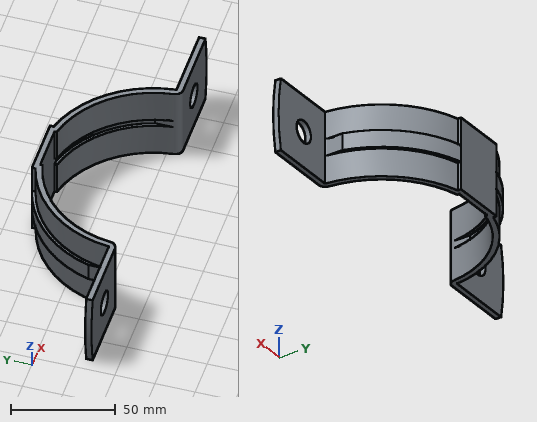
import cadquery as cq
import math

length = 190.5
height = 54.0
width = 40.0
thickness = 3.2

band_inner_radius = 53.0
band_outer_radius = band_inner_radius + thickness
band_center_y = -2.1
bend_radius = 3.8

crest_outer_half = 15.0
crest_inner_half = 11.8

bead_outer_radius = 58.0
bead_inner_radius = bead_outer_radius - thickness
rib_half_span = 55.8
groove_half_span = rib_half_span - thickness
rib_width = 9.3
groove_width = 4.0

foot_corner_half = 93.4
hole_spacing = 147.9
hole_diameter = 12.0


def centered_box(half_span, bottom, top, depth):
    """Box symmetric about X = 0 and Z = 0, from bottom to top along Y."""
    return cq.Workplane("XY").box(2 * half_span, top - bottom, depth).translate((0, (bottom + top) / 2, 0))


def cylinder(radius, depth):
    """Cylinder around the band axis, centred on Z = 0."""
    return cq.Workplane("XY").center(0, band_center_y).circle(radius).extrude(depth / 2, both=True)


def make_feet():
    """Flat strip with bowed ends and one fixing hole in each foot."""
    half_width = width / 2
    strip = (
        cq.Workplane("XZ")
        .moveTo(-foot_corner_half, -half_width)
        .lineTo(foot_corner_half, -half_width)
        .threePointArc((length / 2, 0), (foot_corner_half, half_width))
        .lineTo(-foot_corner_half, half_width)
        .threePointArc((-length / 2, 0), (-foot_corner_half, -half_width))
        .close()
        .extrude(-thickness)
    )
    holes = (
        cq.Workplane("XZ")
        .pushPoints([(-hole_spacing / 2, 0), (hole_spacing / 2, 0)])
        .circle(hole_diameter / 2)
        .extrude(-thickness)
    )
    return strip.cut(holes)


def make_opening():
    """Space inside the band, cut off flat under the crest."""
    crest_underside = height - thickness
    crest_recess = centered_box(crest_inner_half, 0, crest_underside, width)
    return cylinder(band_inner_radius, width).union(crest_recess).intersect(
        centered_box(length / 2, band_center_y, crest_underside, width)
    )


def make_arch():
    """Solid half-round outline topped by the flat crest."""
    envelope = centered_box(length / 2, 0, height, width)
    crest = centered_box(crest_outer_half, height - thickness, height, width)
    return cylinder(band_outer_radius, width).intersect(envelope).union(crest)


def make_bead(radius, half_span, top, depth):
    """Solid bead outline with straight sides near the feet."""
    return cylinder(radius, depth).intersect(centered_box(half_span, 0, top, depth))


rib = make_bead(bead_outer_radius, rib_half_span, height, rib_width)
groove = make_bead(bead_inner_radius, groove_half_span, height - thickness, groove_width)
body = make_feet().union(make_arch()).union(rib).cut(make_opening())

bend_x = math.sqrt(band_inner_radius**2 - band_center_y**2)
for side in (-1, 1):
    bend_edge = cq.selectors.NearestToPointSelector((side * bend_x, 0, 0))
    body = body.edges("|Z").edges(bend_edge).fillet(bend_radius)

result = body.cut(groove)